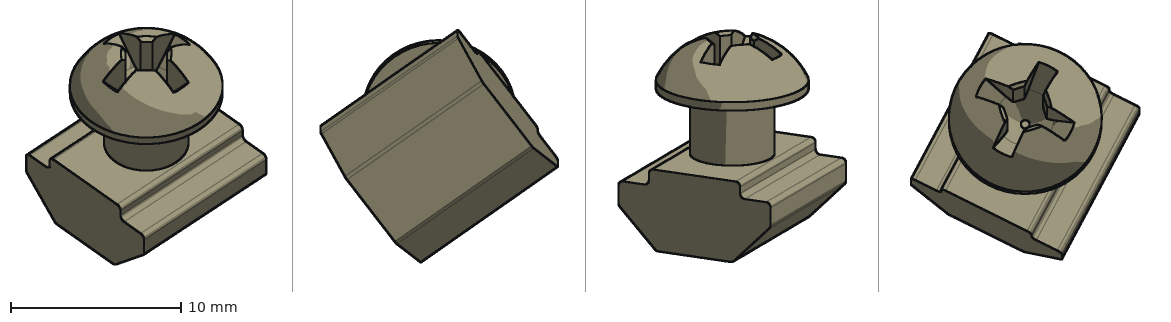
import cadquery as cq
import math

nut_width = 10.0
nut_length = nut_width
nut_height = nut_width / 2
shoulder_height = 0.4 * nut_width
tab_width = 0.6 * nut_width
nut_base_width = nut_width / 2
nut_chamfer = (nut_width - nut_base_width) / 2
nut_corner_radius = 0.3

shank_radius = nut_width / 4
shank_length = 3.99
head_radius = 4.5
rim_height = 0.52
dome_radius = 5.01
head_base = nut_height + shank_length
rim_top = head_base + rim_height
dome_center = rim_top - math.sqrt(dome_radius**2 - head_radius**2)
dome_apex = dome_center + dome_radius

slot_width = 1.23
recess_mouth_radius = 3.0
recess_neck_radius = 1.7
recess_tip_radius = 0.25
wing_depth = 1.75
tip_depth = 1.51
core_diagonal = 1.73
bevel_diagonal = 2.09
bevel_drop = 0.22


def dome_height(radius):
    """Height of the dome surface at a distance from the screw axis."""
    return dome_center + math.sqrt(dome_radius**2 - radius**2)


def make_nut():
    half_outline = [
        (nut_base_width / 2, 0),
        (nut_width / 2, nut_chamfer),
        (nut_width / 2, shoulder_height),
        (tab_width / 2, shoulder_height),
        (tab_width / 2, nut_height),
    ]
    mirrored = [(-x, z) for x, z in reversed(half_outline)]
    return (
        cq.Workplane("XZ")
        .polyline(half_outline + mirrored)
        .close()
        .extrude(nut_length / 2, both=True)
        .edges("|Y")
        .fillet(nut_corner_radius)
    )


def make_screw_blank():
    arc_radius = head_radius / 2
    return (
        cq.Workplane("XZ")
        .moveTo(0, nut_height)
        .lineTo(shank_radius, nut_height)
        .lineTo(shank_radius, head_base)
        .lineTo(head_radius, head_base)
        .lineTo(head_radius, rim_top)
        .threePointArc((arc_radius, dome_height(arc_radius)), (0, dome_apex))
        .close()
        .revolve(360, (0, 0, 0), (0, 1, 0))
    )


def make_recess_envelope():
    """Pointed cone below a wider tapered mouth, carried on above the dome."""
    mouth_z = dome_height(recess_mouth_radius)
    neck_z = mouth_z - wing_depth
    tip_z = neck_z - tip_depth
    outline = [
        (0, tip_z),
        (recess_tip_radius, tip_z),
        (recess_neck_radius, neck_z),
        (recess_mouth_radius, mouth_z),
        (recess_mouth_radius, dome_apex),
        (0, dome_apex),
    ]
    return cq.Workplane("XZ").polyline(outline).close().revolve(360, (0, 0, 0), (0, 1, 0))


def make_recess_cross():
    """Two crossed slots with a beveled diamond core, running down to the shank foot."""
    depth = dome_apex - nut_height
    base = cq.Workplane("XY").workplane(offset=nut_height)
    span = 2 * recess_mouth_radius
    cross = base.rect(span, slot_width).extrude(depth)
    cross = cross.union(base.rect(slot_width, span).extrude(depth))

    core_side = core_diagonal * math.sqrt(2)
    bevel_top = dome_height(bevel_diagonal / math.sqrt(2))
    bevel_bottom = bevel_top - bevel_drop
    widening_per_height = (bevel_diagonal - core_diagonal) / bevel_drop
    top_diagonal = core_diagonal + widening_per_height * (dome_apex - bevel_bottom)
    top_side = top_diagonal * math.sqrt(2)
    core = base.rect(core_side, core_side).extrude(depth)
    bevel = (
        cq.Workplane("XY")
        .workplane(offset=bevel_bottom)
        .rect(core_side, core_side)
        .workplane(offset=dome_apex - bevel_bottom)
        .rect(top_side, top_side)
        .loft(ruled=True)
    )
    diamond = core.union(bevel).rotate((0, 0, 0), (0, 0, 1), 45)
    return cross.union(diamond)


def make_screw():
    recess = make_recess_envelope().intersect(make_recess_cross())
    return make_screw_blank().cut(recess)


nut = make_nut()
screw = make_screw()

result = cq.Compound.makeCompound([nut.val(), screw.val()])